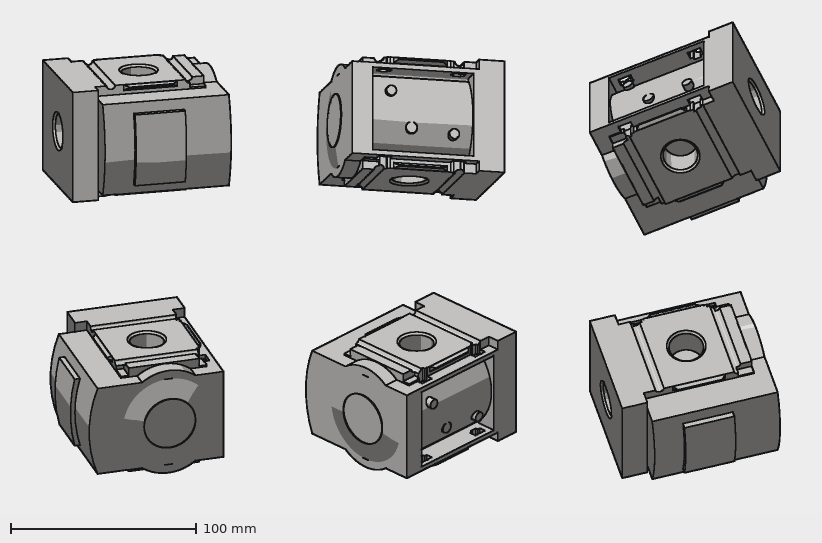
import cadquery as cq

BLOCK_SIDE = 62.0
HALF_HEIGHT = BLOCK_SIDE / 2
MID_X = BLOCK_SIDE / 2
FRONT_BLOCK_DEPTH = 14.2
CORE_BACK_Y = 76.2
CORE_INSET = 6.7

COVER_HALF_HEIGHT = 25.6
COVER_BACK_Y = 84.85
COVER_STRAIGHT_X = 71.15
COVER_CROWN_X = 75.95

DIAL_ARCH_HALF_WIDTH = 15.1
DIAL_ARCH_TOP_Z = 30.7
DIAL_CONE_RADIUS = 25.7
DIAL_DISC_DIAMETER = 29.0
DIAL_CONE_TOP_Y = 86.7
OVERALL_Y = 87.2

OVERALL_X = 78.5
BADGE_Y = (30.95, 59.0)
BADGE_SHOULDER_X = 76.1
BADGE_HALF_HEIGHT = 20.0

PORT_DIAMETER = 18.7
PORT_CHAMFER = 1.2
PORT_DEPTH = 15.7
SIDE_PORT_Y = 45.2

GROOVE_YS = (23.1, 67.4)
GROOVE_RADIUS = 2.4
GROOVE_DEPTH = 2.1

CORNER_LENGTH_X = 4.4
CORNER_Z = 26.6

SLOT_YS = (24.6, 65.75)
SLOT_X = (3.2, 7.1)
SLOT_WIDTH = 7.4
SLOT_NECK_END_X = 8.5
SLOT_NECK_WIDTH = 4.1

LIP_Y = (30.35, 60.1)
LIP_REACH = 2.35
LIP_SECTION = ((0, 3.3), (1.1, 2.3), (LIP_REACH, 1.7), (LIP_REACH, 1.0), (0, 0.2))

WINDOW_Y = (17.3, 73.4)
WINDOW_HALF_HEIGHT = 23.0
WINDOW_DEPTH = 10.8
LEDGE_GROOVE_RADIUS = 1.05
DRUM_RADIUS = 29.2
PINS = (
    (5.5, 62.8, 11.0, 1.0),
    (6.3, 51.2, -8.6, 2.35),
    (5.5, 27.7, -11.0, 1.0),
)


def box(x_range, y_range, z_range):
    """Box between the given limits."""
    size = [high - low for low, high in (x_range, y_range, z_range)]
    corner = (x_range[0], y_range[0], z_range[0])
    return cq.Workplane("XY").box(*size, centered=False).translate(corner)


def on_both_sides(shape):
    """The shape together with its mirror image below mid-height."""
    return shape.union(shape.mirror("XY"))


def cylinder_y(radius, x, z, y_range):
    """Cylinder along Y."""
    length = y_range[1] - y_range[0]
    return cq.Workplane("XZ", origin=(x, y_range[0], z)).circle(radius).extrude(-length)


def make_block():
    """Full-size front block with the narrower core behind it."""
    heights = (-HALF_HEIGHT, HALF_HEIGHT)
    front = box((0, BLOCK_SIDE), (0, FRONT_BLOCK_DEPTH), heights)
    core = box((CORE_INSET, BLOCK_SIDE - CORE_INSET), (0, CORE_BACK_Y), heights)
    return front.union(core)


def make_cover():
    """Cover frame with a crowned right side."""
    return (
        cq.Workplane("XZ", origin=(0, FRONT_BLOCK_DEPTH, 0))
        .moveTo(0, -COVER_HALF_HEIGHT)
        .lineTo(COVER_STRAIGHT_X, -COVER_HALF_HEIGHT)
        .threePointArc((COVER_CROWN_X, 0), (COVER_STRAIGHT_X, COVER_HALF_HEIGHT))
        .lineTo(0, COVER_HALF_HEIGHT)
        .close()
        .extrude(FRONT_BLOCK_DEPTH - COVER_BACK_Y)
    )


def make_dial():
    """Arches above and below the cover, with a conical dial on the back."""
    arches = (
        cq.Workplane("XZ", origin=(MID_X, CORE_BACK_Y, 0))
        .moveTo(-DIAL_ARCH_HALF_WIDTH, -COVER_HALF_HEIGHT)
        .threePointArc((0, -DIAL_ARCH_TOP_Z), (DIAL_ARCH_HALF_WIDTH, -COVER_HALF_HEIGHT))
        .lineTo(DIAL_ARCH_HALF_WIDTH, COVER_HALF_HEIGHT)
        .threePointArc((0, DIAL_ARCH_TOP_Z), (-DIAL_ARCH_HALF_WIDTH, COVER_HALF_HEIGHT))
        .close()
        .extrude(CORE_BACK_Y - COVER_BACK_Y)
    )
    disc_radius = DIAL_DISC_DIAMETER / 2
    cone = (
        cq.Workplane("XY")
        .moveTo(0, CORE_BACK_Y)
        .lineTo(DIAL_CONE_RADIUS, CORE_BACK_Y)
        .lineTo(DIAL_CONE_RADIUS, COVER_BACK_Y)
        .lineTo(disc_radius, DIAL_CONE_TOP_Y)
        .lineTo(disc_radius, OVERALL_Y)
        .lineTo(0, OVERALL_Y)
        .close()
        .revolve(360, (0, 0, 0), (0, 1, 0))
        .translate((MID_X, 0, 0))
    )
    cone = cone.intersect(
        box((0, BLOCK_SIDE), (CORE_BACK_Y, OVERALL_Y), (-COVER_HALF_HEIGHT, COVER_HALF_HEIGHT))
    )
    return arches.union(cone)


def make_badge():
    """Badge with a crowned face."""
    return (
        cq.Workplane("XZ", origin=(0, BADGE_Y[0], 0))
        .moveTo(COVER_STRAIGHT_X, -BADGE_HALF_HEIGHT)
        .lineTo(BADGE_SHOULDER_X, -BADGE_HALF_HEIGHT)
        .threePointArc((OVERALL_X, 0), (BADGE_SHOULDER_X, BADGE_HALF_HEIGHT))
        .lineTo(COVER_STRAIGHT_X, BADGE_HALF_HEIGHT)
        .close()
        .extrude(BADGE_Y[0] - BADGE_Y[1])
    )


def make_port():
    """Cutter for a chamfered blind port opening upwards at the origin."""
    radius = PORT_DIAMETER / 2
    return (
        cq.Workplane("XZ")
        .polyline([
            (0, 0),
            (radius + PORT_CHAMFER, 0),
            (radius, -PORT_CHAMFER),
            (radius, -PORT_DEPTH),
            (0, -PORT_DEPTH),
        ])
        .close()
        .revolve(360, (0, 0, 0), (0, 1, 0))
    )


def make_ports():
    """Cutters for the front, top and bottom ports."""
    front = make_port().rotate((0, 0, 0), (1, 0, 0), 90).translate((MID_X, 0, 0))
    top = make_port().translate((MID_X, SIDE_PORT_Y, HALF_HEIGHT))
    return front.union(on_both_sides(top))


def make_grooves():
    """Cutters for the round grooves and the lowered corners behind them."""
    axis_z = HALF_HEIGHT - GROOVE_DEPTH + GROOVE_RADIUS
    core_left = CORE_INSET
    core_right = BLOCK_SIDE - CORE_INSET
    cutters = cq.Workplane("XY")
    for y in GROOVE_YS:
        groove = (
            cq.Workplane("YZ", origin=(core_left, y, axis_z))
            .circle(GROOVE_RADIUS)
            .extrude(core_right - core_left)
        )
        cutters = cutters.union(groove)
    for left in (core_left, core_right - CORNER_LENGTH_X):
        corner = box(
            (left, left + CORNER_LENGTH_X), (GROOVE_YS[1], CORE_BACK_Y), (CORNER_Z, HALF_HEIGHT)
        )
        cutters = cutters.union(corner)
    return on_both_sides(cutters)


def make_slots():
    """Cutters for the T-shaped slots that reach down into the window."""
    heights = (0, HALF_HEIGHT)
    cutters = cq.Workplane("XY")
    for y in SLOT_YS:
        head = box(SLOT_X, (y - SLOT_WIDTH / 2, y + SLOT_WIDTH / 2), heights)
        neck = box(
            (SLOT_X[0], SLOT_NECK_END_X),
            (y - SLOT_NECK_WIDTH / 2, y + SLOT_NECK_WIDTH / 2),
            heights,
        )
        cutters = cutters.union(head).union(neck)
    return on_both_sides(cutters)


def make_lips():
    """Lips with a tapered section and ends cut back at 45 degrees."""
    section = [(reach, HALF_HEIGHT - drop) for reach, drop in LIP_SECTION]
    bar = (
        cq.Workplane("XZ", origin=(0, LIP_Y[0], 0))
        .polyline(section)
        .close()
        .extrude(LIP_Y[0] - LIP_Y[1])
    )
    plan = (
        cq.Workplane("XY")
        .polyline([
            (0, LIP_Y[0]),
            (LIP_REACH, LIP_Y[0] + LIP_REACH),
            (LIP_REACH, LIP_Y[1] - LIP_REACH),
            (0, LIP_Y[1]),
        ])
        .close()
        .extrude(HALF_HEIGHT)
    )
    lip = bar.intersect(plan)
    right = lip.translate((BLOCK_SIDE - CORE_INSET, 0, 0))
    left = lip.mirror("YZ").translate((CORE_INSET, 0, 0))
    return on_both_sides(right.union(left))


def make_window():
    """Cutter for the rectangular window."""
    return box((0, WINDOW_DEPTH), WINDOW_Y, (-WINDOW_HALF_HEIGHT, WINDOW_HALF_HEIGHT))


def make_ledge_grooves():
    """Cutters for the hollow strips between the drum and the window's top and bottom."""
    axis_z = WINDOW_HALF_HEIGHT - LEDGE_GROOVE_RADIUS
    return on_both_sides(cylinder_y(LEDGE_GROOVE_RADIUS, WINDOW_DEPTH, axis_z, WINDOW_Y))


def make_drum():
    """Drum that bulges into the window, with its pins."""
    opening = make_window()
    drum = cylinder_y(DRUM_RADIUS, MID_X, 0, WINDOW_Y).intersect(opening)
    for diameter, y, z, end_x in PINS:
        pin = (
            cq.Workplane("YZ", origin=(end_x, y, z))
            .circle(diameter / 2)
            .extrude(WINDOW_DEPTH - end_x)
        )
        drum = drum.union(pin)
    return drum


result = (
    make_block()
    .cut(make_grooves())
    .union(make_cover())
    .union(make_lips())
    .cut(make_window())
    .cut(make_ledge_grooves())
    .cut(make_slots())
    .union(make_drum())
    .union(make_dial())
    .union(make_badge())
    .cut(make_ports())
)